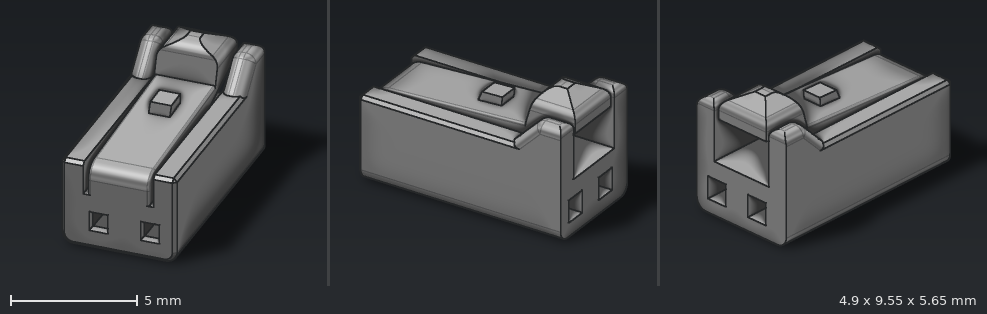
import cadquery as cq
import math

width = 4.9
length = 9.55
wall_top = 3.82
front_y = -length / 2
back_y = length / 2
side_x = width / 2

bottom_radius = 0.5
edge_chamfer = 0.15

channel_half_width = 1.5
floor_front_z = 2.41
floor_back_z = 2.445
floor_ramp_start_y = -3.92
floor_ramp_end_y = -0.71

ear_top = 5.07
ear_slope_foot_y = 2.38
ear_outer_radius = 0.42
ear_inner_radius = 0.33
ear_back_radius = 0.32

arm_half_width = 1.3
arm_front_z = 3.74
arm_bend_radius = 0.7
arm_edge_radius = 0.1
gap_front_y = floor_ramp_end_y
gap_front_z = 2.78
gap_ceiling_slope = 0.3

head_top = 5.65
head_foot_y = 2.38
head_foot_z = 4.15
head_front_lean = 16.0
head_front_radius = 0.7
head_edge_radius = 0.5
head_top_half_width = 0.29
head_top_back_y = 3.71
head_back_y = 4.73
head_roof_slope = 0.5

bump_width = 0.9
bump_foot_back_y = 0.72
bump_foot_front_y = -0.39
bump_top_back_y = 0.75
bump_top_back_z = 4.46
bump_top_front_y = -0.2
bump_top_front_z = 4.42

opening_centers_x = (-0.84, 1.35)
opening_width = 0.79
opening_bottom = 0.8
opening_top = 1.65
opening_depth = 0.4
cavity_side_step = 0.1
cavity_floor_drop = 0.17

arm_slope = (head_foot_z - arm_front_z) / (head_foot_y - front_y)


def arm_surface_z(y):
    """Height of the sloping upper face of the arm."""
    return arm_front_z + arm_slope * (y - front_y)


def gap_ceiling_z(y):
    """Height of the arm's underside, which climbs towards the free end."""
    return gap_front_z + gap_ceiling_slope * (y - gap_front_y)


def extrude_across(points, x_min, x_max):
    """Solid from a (Y, Z) outline, running from x_min to x_max."""
    plane = cq.Workplane("YZ", origin=(x_min, 0, 0))
    return plane.polyline(points).close().extrude(x_max - x_min)


def box_between(x_min, x_max, y_min, y_max, z_min, z_max):
    size = (x_max - x_min, y_max - y_min, z_max - z_min)
    return cq.Workplane("XY").box(*size, centered=False).translate((x_min, y_min, z_min))


def make_channel():
    outline = [
        (front_y, floor_front_z),
        (floor_ramp_start_y, floor_front_z),
        (floor_ramp_end_y, floor_back_z),
        (back_y, floor_back_z),
        (back_y, head_top),
        (front_y, head_top),
    ]
    return extrude_across(outline, -channel_half_width, channel_half_width)


def make_body():
    body = box_between(-side_x, side_x, front_y, back_y, 0, wall_top)
    body = body.edges("|Y and <Z").fillet(bottom_radius)
    return body.faces("<Y").edges().add(body.edges("|Y and >Z")).chamfer(edge_chamfer)


def make_ear():
    """Ear on the -X wall: 45 degree front slope, all upper edges rounded."""
    root_z = wall_top - 2 * ear_outer_radius
    overhang = 2 * ear_outer_radius
    slope_top_y = ear_slope_foot_y + ear_top - wall_top
    slope_root_y = ear_slope_foot_y + root_z - wall_top
    outline = [
        (slope_root_y, root_z),
        (back_y + overhang, root_z),
        (back_y + overhang, ear_top),
        (slope_top_y, ear_top),
    ]
    ear = extrude_across(outline, -side_x, -channel_half_width)
    top_edges = ear.faces(">Z").edges("<X or <Y")
    slope_edge = ear.faces("<(0, 1, -1)").edges("<X")
    ear = top_edges.add(slope_edge).fillet(ear_outer_radius)
    ear = ear.faces(">X").edges("|Y and >Z").fillet(ear_inner_radius)
    envelope = box_between(-side_x, 0, front_y, back_y, 0, ear_top)
    envelope = envelope.edges(">Y and >Z").fillet(ear_back_radius)
    return ear.intersect(envelope)


def make_arm():
    """Arm rooted in the front wall, with a wedge-shaped gap below it."""
    root_z = (opening_top + floor_front_z) / 2
    outline = [
        (front_y, root_z),
        (gap_front_y, root_z),
        (gap_front_y, gap_front_z),
        (head_foot_y, gap_ceiling_z(head_foot_y)),
        (head_foot_y, head_foot_z),
        (front_y, arm_front_z),
    ]
    arm = extrude_across(outline, -arm_half_width, arm_half_width)
    arm = arm.edges("|X").edges("<Y").edges(">Z").fillet(arm_bend_radius)
    return arm.edges("|Z").edges("<Y").fillet(arm_edge_radius)


def make_head():
    """Press head: leaning front face, and a hipped roof with rounded eaves."""
    lean_offset = (head_top - head_foot_z) * math.tan(math.radians(head_front_lean))
    roof_reach_y = head_back_y - head_top_back_y
    side_outline = [
        (head_foot_y, gap_ceiling_z(head_foot_y)),
        (head_back_y, gap_ceiling_z(head_back_y)),
        (head_back_y, head_top - head_roof_slope * roof_reach_y),
        (head_top_back_y, head_top),
        (head_foot_y + lean_offset, head_top),
        (head_foot_y, head_foot_z),
    ]
    lengthwise = extrude_across(side_outline, -arm_half_width, arm_half_width)
    front_top_edge = lengthwise.faces(">Z").edges("<Y")
    lengthwise = front_top_edge.fillet(head_front_radius)
    lengthwise = lengthwise.faces(">Y").edges(">Z").fillet(head_edge_radius)

    eave_z = head_top - head_roof_slope * (arm_half_width - head_top_half_width)
    cross_outline = [
        (-arm_half_width, floor_back_z),
        (arm_half_width, floor_back_z),
        (arm_half_width, eave_z),
        (head_top_half_width, head_top),
        (-head_top_half_width, head_top),
        (-arm_half_width, eave_z),
    ]
    crosswise = cq.Workplane("XZ", origin=(0, head_back_y, 0)).polyline(cross_outline).close()
    crosswise = crosswise.extrude(head_back_y - head_foot_y)
    for side in (">X", "<X"):
        crosswise = crosswise.faces(side).edges(">Z").fillet(head_edge_radius)
    return lengthwise.intersect(crosswise)


def make_bump():
    """Small latch bump on the arm, with a bevelled front."""
    root_z = gap_ceiling_z(bump_foot_back_y)
    outline = [
        (bump_foot_back_y, root_z),
        (bump_foot_back_y, arm_surface_z(bump_foot_back_y)),
        (bump_top_back_y, bump_top_back_z),
        (bump_top_front_y, bump_top_front_z),
        (bump_foot_front_y, arm_surface_z(bump_foot_front_y)),
        (bump_foot_front_y, root_z),
    ]
    return extrude_across(outline, -bump_width / 2, bump_width / 2)


def make_terminal_passage(center_x):
    """Rectangular opening in the front face, running into a larger cavity open at the back."""
    half = opening_width / 2
    cavity_half = half + cavity_side_step
    cavity_front_y = front_y + opening_depth
    cavity_bottom = opening_bottom - cavity_floor_drop
    opening = box_between(
        center_x - half, center_x + half, front_y, back_y, opening_bottom, opening_top
    )
    cavity = box_between(
        center_x - cavity_half,
        center_x + cavity_half,
        cavity_front_y,
        back_y,
        cavity_bottom,
        opening_top,
    )
    return opening.union(cavity)


ear = make_ear()
housing = make_body().union(ear).union(ear.mirror("YZ")).cut(make_channel())
housing = housing.union(make_arm()).union(make_head()).union(make_bump())
for center_x in opening_centers_x:
    housing = housing.cut(make_terminal_passage(center_x))

result = housing